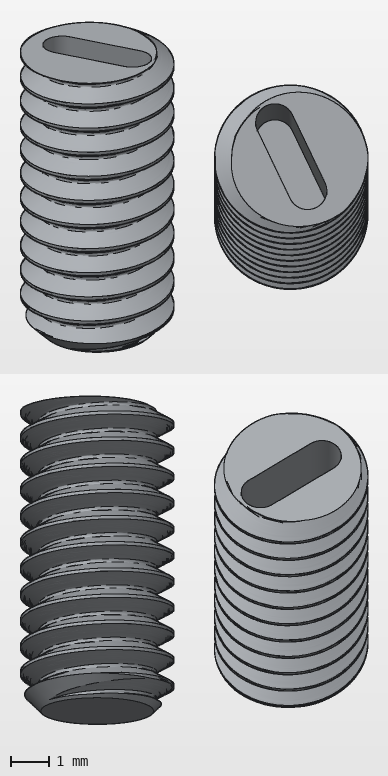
import cadquery as cq
import math

LENGTH = 8.0
MAJOR_DIAMETER = 4.0
POINT_DIAMETER = 2.94

PITCH = 0.7
ROOT_DIAMETER = 3.1
FLANK_ANGLE = 30.0
GROOVE_HEIGHT_AT_FRONT = 0.04
FLANK_POINTS = 7

SLOT_LENGTH = 3.0
SLOT_WIDTH = 1.0
SLOT_DEPTH = 2.0

MAJOR_RADIUS = MAJOR_DIAMETER / 2
ROOT_RADIUS = ROOT_DIAMETER / 2
THREAD_DEPTH = MAJOR_RADIUS - ROOT_RADIUS
FLANK_HEIGHT = THREAD_DEPTH * math.tan(math.radians(FLANK_ANGLE))
ROOT_FLAT = PITCH / 8


def polar(radius, angle):
    """Point at a radius and an angle in degrees."""
    turn = math.radians(angle)
    return (radius * math.cos(turn), radius * math.sin(turn))


def thread_section():
    """Cross-section of the thread at the lower end.

    A plane across the axis meets the root and crest in arcs and each flank in
    an Archimedean spiral. Heights along the axis become angles around it.
    """
    degrees_per_height = 360 / PITCH
    groove_angle = -90 - GROOVE_HEIGHT_AT_FRONT * degrees_per_height
    root_half = ROOT_FLAT / 2 * degrees_per_height
    flank_span = FLANK_HEIGHT * degrees_per_height

    def flank_point(step, side):
        part = step / (FLANK_POINTS - 1)
        radius = ROOT_RADIUS + part * THREAD_DEPTH
        return polar(radius, groove_angle + side * (root_half + part * flank_span))

    rising = [flank_point(step, 1) for step in range(FLANK_POINTS)]
    falling = [flank_point(step, -1) for step in reversed(range(FLANK_POINTS))]
    return (
        cq.Workplane("XY")
        .moveTo(*rising[0])
        .spline(rising[1:], includeCurrent=True)
        .threePointArc(polar(MAJOR_RADIUS, groove_angle + 180), falling[0])
        .spline(falling[1:], includeCurrent=True)
        .threePointArc(polar(ROOT_RADIUS, groove_angle), rising[0])
        .close()
    )


def threaded_rod():
    """Thread cross-section turned once per pitch along the length."""
    return thread_section().twistExtrude(LENGTH, 360 * LENGTH / PITCH)


def chamfered_envelope():
    """Plain cylinder clear of the crests, with the 45 degree lower chamfer."""
    clear_diameter = MAJOR_DIAMETER + PITCH
    chamfer = (clear_diameter - POINT_DIAMETER) / 2
    return cq.Workplane("XY").circle(clear_diameter / 2).extrude(LENGTH).faces("<Z").chamfer(chamfer)


def driving_slot():
    """Round-ended slot along X, sunk from the upper end."""
    return (
        cq.Workplane("XY", origin=(0, 0, LENGTH))
        .slot2D(SLOT_LENGTH, SLOT_WIDTH)
        .extrude(-SLOT_DEPTH)
    )


envelope = chamfered_envelope().cut(driving_slot())
result = threaded_rod().intersect(envelope)